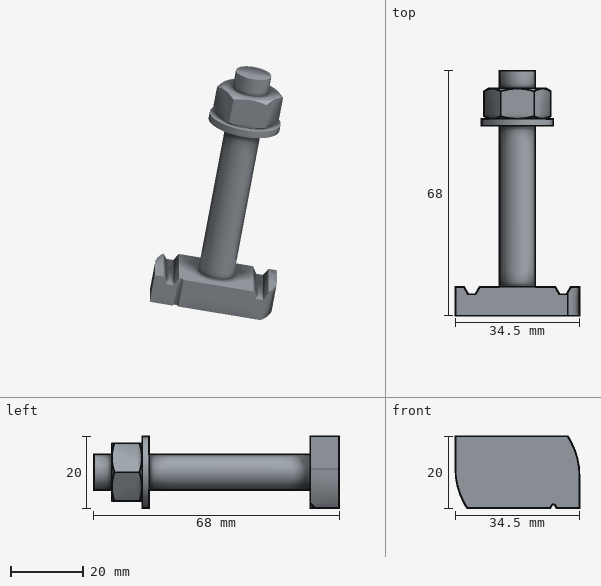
import cadquery as cq
import math

total_length = 68.0
shank_diameter = 10.0
shank_radius = shank_diameter / 2
nut_setback = 4.95

head_length = 34.5
head_height = 20.0
head_thickness = 8.0
corner_radius = 20.0
corner_rise = 11.0
flank_angle = math.radians(30)

groove_offset = 12.65
groove_floor = 2.0
groove_depth = 2.05

notch_x = 10.0
notch_floor = 0.6
notch_depth = 1.0

nut_across_flats = 16.1
nut_thickness = 8.4
nut_face_radius = 7.95
nut_bevel_angle = math.radians(30)
washer_diameter = 20.0
washer_thickness = 2.0

nut_end_y = total_length - nut_setback
nut_start_y = nut_end_y - nut_thickness
washer_start_y = nut_start_y - washer_thickness


def cylinder_along_y(radius, start_y, length):
    return cq.Workplane("XZ", origin=(0, start_y, 0)).circle(radius).extrude(-length)


def trapezoid(plane, center, open_edge, floor_edge, floor_width):
    """Symmetric profile with sloping flanks, from its open edge to its floor."""
    floor_half = floor_width / 2
    open_half = floor_half + abs(open_edge - floor_edge) * math.tan(flank_angle)
    return cq.Workplane(plane).polyline([
        (center - open_half, open_edge),
        (center - floor_half, floor_edge),
        (center + floor_half, floor_edge),
        (center + open_half, open_edge),
    ]).close()


def make_head():
    half_length = head_length / 2
    half_height = head_height / 2
    corner_angle = math.asin(corner_rise / corner_radius)
    corner_inset = corner_radius * (1 - math.cos(corner_angle))
    middle_inset = corner_radius * (1 - math.cos(corner_angle / 2))
    middle_rise = corner_radius * math.sin(corner_angle / 2)
    tangent_z = half_height - corner_rise
    corner_middle = (half_length - middle_inset, tangent_z + middle_rise)
    corner_end = (half_length - corner_inset, half_height)

    head = (
        cq.Workplane("XZ")
        .moveTo(-half_length, half_height)
        .lineTo(*corner_end)
        .threePointArc(corner_middle, (half_length, tangent_z))
        .lineTo(half_length, -half_height)
        .lineTo(-corner_end[0], -corner_end[1])
        .threePointArc((-corner_middle[0], -corner_middle[1]), (-half_length, -tangent_z))
        .close()
        .extrude(-head_thickness)
    )

    groove_floor_y = head_thickness - groove_depth
    for groove_x in (-groove_offset, groove_offset):
        groove = trapezoid("XY", groove_x, head_thickness, groove_floor_y, groove_floor)
        head = head.cut(groove.extrude(half_height, both=True))

    notch = trapezoid("XZ", notch_x, -half_height, notch_depth - half_height, notch_floor)
    return head.cut(notch.extrude(-head_thickness))


def make_bolt():
    shank = cylinder_along_y(shank_radius, head_thickness, total_length - head_thickness)
    return make_head().union(shank)


def make_washer():
    disc = cylinder_along_y(washer_diameter / 2, washer_start_y, washer_thickness)
    return disc.cut(cylinder_along_y(shank_radius, washer_start_y, washer_thickness))


def make_nut():
    corner_radius_of_hexagon = nut_across_flats / 2 / math.cos(math.pi / 6)
    bevel_depth = (corner_radius_of_hexagon - nut_face_radius) * math.tan(nut_bevel_angle)
    hexagon = (
        cq.Workplane("XZ", origin=(0, nut_start_y, 0))
        .polygon(6, 2 * corner_radius_of_hexagon)
        .extrude(-nut_thickness)
    )
    envelope = (
        cq.Workplane("XY")
        .polyline([
            (0, nut_start_y),
            (nut_face_radius, nut_start_y),
            (corner_radius_of_hexagon, nut_start_y + bevel_depth),
            (corner_radius_of_hexagon, nut_end_y - bevel_depth),
            (nut_face_radius, nut_end_y),
            (0, nut_end_y),
        ])
        .close()
        .revolve(360, (0, 0, 0), (0, 1, 0))
    )
    bore = cylinder_along_y(shank_radius, nut_start_y, nut_thickness)
    return hexagon.intersect(envelope).cut(bore)


bolt = make_bolt()
washer = make_washer()
nut = make_nut()

result = cq.Compound.makeCompound([bolt.val(), washer.val(), nut.val()])